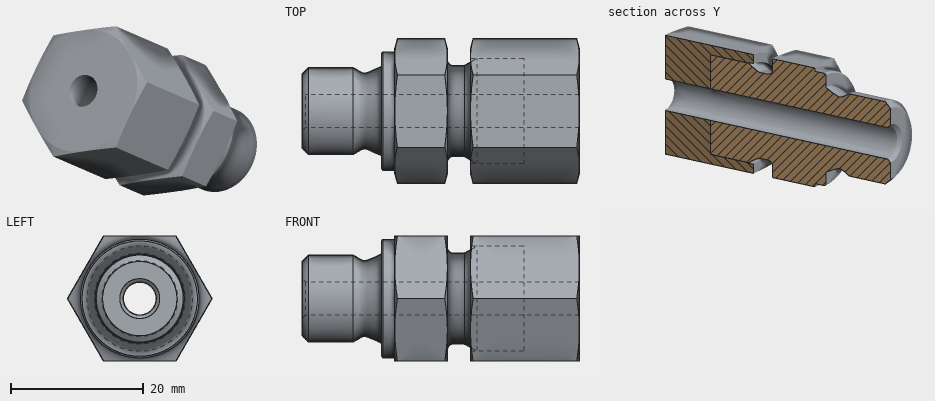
import cadquery as cq
import math


collar_start = 12.0
hex_start = 14.03
hex_end = 22.0
nut_start = 25.5
nut_end = 42.0
rear_stud_end = 33.6

hex_across_flats = 19.0
hex_chamfer_radius = 9.45
hex_chamfer_angle = 15.0
hex_across_corners = hex_across_flats / math.cos(math.radians(30))
hex_chamfer_rise = hex_across_corners / 2 - hex_chamfer_radius
hex_chamfer_length = hex_chamfer_rise * math.tan(math.radians(hex_chamfer_angle))

stud_radius = 6.6
stud_chamfer = 0.95
undercut_radius = 5.75
undercut_bottom = 9.5
undercut_fillet = 1.25
front_cone_angle = 30.0
rear_cone_angle = 24.0

collar_radius = 9.0
collar_chamfer = 0.25

neck_radius = 6.9
neck_fillet = 0.9
neck_end = 24.55
rear_stud_radius = 8.0
neck_cone_angle = 30.0
neck_cone_length = (rear_stud_radius - neck_radius) / math.tan(math.radians(neck_cone_angle))

bore_radius = 2.48
bore_chamfer = 0.55


def revolve_about_x(profile):
    """Turn a closed (x, radius) profile fully around the X axis."""
    return profile.close().revolve(360, (0, 0, 0), (1, 0, 0))


def chamfered_hexagon(start, end):
    """Hexagonal bar with flats at +Z and -Z and both ends turned to a shallow cone."""
    bar = (
        cq.Workplane("YZ", origin=(start, 0, 0))
        .polygon(6, hex_across_corners)
        .extrude(end - start)
    )
    envelope = revolve_about_x(
        cq.Workplane("XY")
        .moveTo(start, 0)
        .lineTo(start, hex_chamfer_radius)
        .lineTo(start + hex_chamfer_length, hex_across_corners / 2)
        .lineTo(end - hex_chamfer_length, hex_across_corners / 2)
        .lineTo(end, hex_chamfer_radius)
        .lineTo(end, 0)
    )
    return bar.intersect(envelope)


def cylinder_along_x(start, end, radius):
    return cq.Workplane("YZ", origin=(start, 0, 0)).circle(radius).extrude(end - start)


def front_stud():
    """Chamfered stud whose undercut is one arc tangent to a cone on each side."""
    front_angle = math.radians(front_cone_angle)
    rear_angle = math.radians(rear_cone_angle)
    arc_center_radius = undercut_radius + undercut_fillet

    arc_start_x = undercut_bottom - undercut_fillet * math.sin(front_angle)
    arc_start_radius = arc_center_radius - undercut_fillet * math.cos(front_angle)
    arc_end_x = undercut_bottom + undercut_fillet * math.sin(rear_angle)
    arc_end_radius = arc_center_radius - undercut_fillet * math.cos(rear_angle)

    stud_end = arc_start_x - (stud_radius - arc_start_radius) / math.tan(front_angle)
    rear_cone_end_radius = arc_end_radius + (collar_start - arc_end_x) * math.tan(rear_angle)

    return revolve_about_x(
        cq.Workplane("XY")
        .moveTo(0, 0)
        .lineTo(0, stud_radius - stud_chamfer)
        .lineTo(stud_chamfer, stud_radius)
        .lineTo(stud_end, stud_radius)
        .lineTo(arc_start_x, arc_start_radius)
        .threePointArc((undercut_bottom, undercut_radius), (arc_end_x, arc_end_radius))
        .lineTo(collar_start, rear_cone_end_radius)
        .lineTo(collar_start, 0)
    )


def collar():
    """Round collar with a small chamfer on its front edge."""
    return cylinder_along_x(collar_start, hex_start, collar_radius).faces("<X").chamfer(collar_chamfer)


def neck_and_rear_stud():
    """Neck filleted into the hexagon, widening through a cone to the rear stud."""
    fillet_center = (hex_end + neck_fillet, neck_radius + neck_fillet)
    fillet_reach = neck_fillet * math.sqrt(0.5)
    return revolve_about_x(
        cq.Workplane("XY")
        .moveTo(hex_end, 0)
        .lineTo(hex_end, neck_radius + neck_fillet)
        .threePointArc(
            (fillet_center[0] - fillet_reach, fillet_center[1] - fillet_reach),
            (fillet_center[0], neck_radius),
        )
        .lineTo(neck_end, neck_radius)
        .lineTo(neck_end + neck_cone_length, rear_stud_radius)
        .lineTo(rear_stud_end, rear_stud_radius)
        .lineTo(rear_stud_end, 0)
    )


def make_housing():
    """Front stud, collar, hexagon and rear stud in one piece, with a countersunk through bore."""
    solid = (
        front_stud()
        .union(collar())
        .union(chamfered_hexagon(hex_start, hex_end))
        .union(neck_and_rear_stud())
    )
    bore = cylinder_along_x(0, rear_stud_end, bore_radius)
    countersink = revolve_about_x(
        cq.Workplane("XY")
        .moveTo(0, 0)
        .lineTo(0, bore_radius + bore_chamfer)
        .lineTo(bore_chamfer, bore_radius)
        .lineTo(bore_chamfer, 0)
    )
    return solid.cut(bore).cut(countersink)


def make_nut():
    """Union nut: a hexagon with a recess for the rear stud and a bore through its end."""
    recess = cylinder_along_x(nut_start, rear_stud_end, rear_stud_radius)
    bore = cylinder_along_x(rear_stud_end, nut_end, bore_radius)
    return chamfered_hexagon(nut_start, nut_end).cut(recess).cut(bore)


housing = make_housing()
nut = make_nut()
result = cq.Compound.makeCompound([housing.val(), nut.val()])